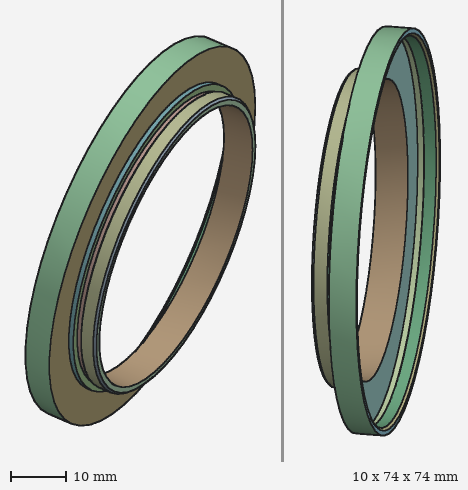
import cadquery as cq

FLANGE_DIAMETER = 74.0
RECESS_MOUTH_DIAMETER = 72.2
RECESS_DIAMETER = 71.25
UNDERCUT_DIAMETER = RECESS_MOUTH_DIAMETER
SHOULDER_DIAMETER = 60.0
COLLAR_DIAMETER = 58.0
NECK_DIAMETER = 57.3
BORE_DIAMETER = 55.0

UNDERCUT_START = 2.75
RECESS_FLOOR = 4.0
FLANGE_BACK = 5.0
SHOULDER_BACK = 6.0
COLLAR_FRONT = 7.0
COLLAR_BACK = 10.0

COLLAR_FRONT_BEVEL = 0.2
COLLAR_BACK_BEVEL = 0.45
MOUTH_BEVEL = (RECESS_MOUTH_DIAMETER - RECESS_DIAMETER) / 2

outside = [
    (0, FLANGE_DIAMETER / 2),
    (FLANGE_BACK, FLANGE_DIAMETER / 2),
    (FLANGE_BACK, SHOULDER_DIAMETER / 2),
    (SHOULDER_BACK, SHOULDER_DIAMETER / 2),
    (SHOULDER_BACK, NECK_DIAMETER / 2),
    (COLLAR_FRONT - COLLAR_FRONT_BEVEL, NECK_DIAMETER / 2),
    (COLLAR_FRONT, COLLAR_DIAMETER / 2),
    (COLLAR_BACK - COLLAR_BACK_BEVEL, COLLAR_DIAMETER / 2),
    (COLLAR_BACK, COLLAR_DIAMETER / 2 - COLLAR_BACK_BEVEL),
]

inside = [
    (COLLAR_BACK, BORE_DIAMETER / 2),
    (RECESS_FLOOR, BORE_DIAMETER / 2),
    (RECESS_FLOOR, UNDERCUT_DIAMETER / 2),
    (UNDERCUT_START, UNDERCUT_DIAMETER / 2),
    (UNDERCUT_START, RECESS_DIAMETER / 2),
    (MOUTH_BEVEL, RECESS_DIAMETER / 2),
    (0, RECESS_MOUTH_DIAMETER / 2),
]

half_section = cq.Workplane("XY").polyline(outside + inside).close()
result = half_section.revolve(360, (0, 0, 0), (1, 0, 0))